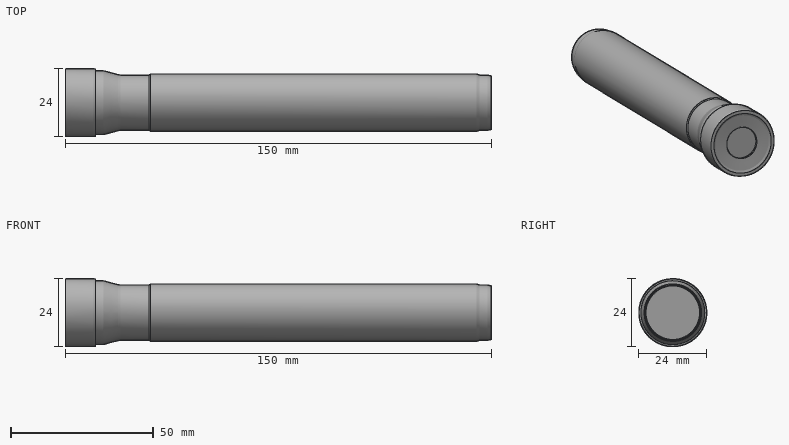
import cadquery as cq

total_length = 150.0
head_length = 10.6

head_diameter = 24.0
head_bevel_length = 0.6
head_bevel_drop = 0.1
face_rim_diameter = 21.5
dish_outer_diameter = 20.0
rim_bevel_depth = 0.3
dish_inner_diameter = 14.2
dish_depth = 0.6
recess_diameter = 11.2
recess_lip_depth = 0.7
recess_depth = 1.8

collar_diameter = 22.5
collar_end = 13.3
collar_bevel_length = 0.5
collar_bevel_drop = 0.07
cone_end = 18.6
cone_end_diameter = 19.8
neck_diameter = 19.5
neck_start = 19.5
barrel_diameter = 20.2
barrel_start = 29.5
barrel_end = 144.7
tail_start = 146.0
tail_diameter = 19.5
tail_tip_start = 148.6
tail_tip_diameter = 18.9


def revolve_profile(profile):
    """Turn a closed (x, radius) profile about the X axis."""
    return profile.close().revolve(360, (0, 0, 0), (1, 0, 0))


def make_head():
    end_radius = head_diameter / 2 - head_bevel_drop
    outline = (
        cq.Workplane("XY")
        .moveTo(0, 0)
        .lineTo(0, end_radius)
        .lineTo(head_bevel_length, head_diameter / 2)
        .lineTo(head_length - head_bevel_length, head_diameter / 2)
        .lineTo(head_length, end_radius)
        .lineTo(head_length, 0)
    )
    dish = (
        cq.Workplane("XY")
        .moveTo(0, 0)
        .lineTo(0, face_rim_diameter / 2)
        .lineTo(rim_bevel_depth, dish_outer_diameter / 2)
        .lineTo(dish_depth, dish_inner_diameter / 2)
        .lineTo(recess_lip_depth, recess_diameter / 2)
        .lineTo(recess_depth, recess_diameter / 2)
        .lineTo(recess_depth, 0)
    )
    return revolve_profile(outline).cut(revolve_profile(dish))


def make_shaft():
    barrel_step = (barrel_diameter - neck_diameter) / 2
    profile = (
        cq.Workplane("XY")
        .moveTo(head_length, 0)
        .lineTo(head_length, collar_diameter / 2)
        .lineTo(collar_end, collar_diameter / 2)
        .lineTo(collar_end + collar_bevel_length, collar_diameter / 2 - collar_bevel_drop)
        .lineTo(cone_end, cone_end_diameter / 2)
        .lineTo(neck_start, neck_diameter / 2)
        .lineTo(barrel_start, neck_diameter / 2)
        .lineTo(barrel_start + barrel_step, barrel_diameter / 2)
        .lineTo(barrel_end, barrel_diameter / 2)
        .lineTo(tail_start, tail_diameter / 2)
        .lineTo(tail_tip_start, tail_diameter / 2)
        .lineTo(total_length, tail_tip_diameter / 2)
        .lineTo(total_length, 0)
    )
    return revolve_profile(profile)


head = make_head()
shaft = make_shaft()

result = cq.Compound.makeCompound([head.val(), shaft.val()])